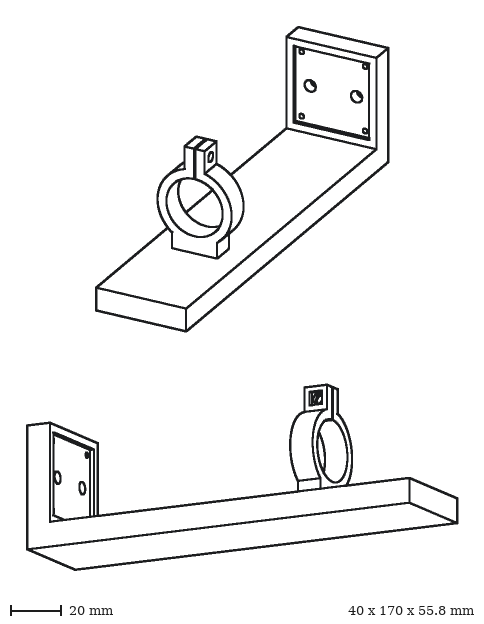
import cadquery as cq

width = 40.0
length = 170.0
base_thickness = 10.0
wall_thickness = 10.0
wall_top = 50.0

axis_height = (base_thickness + wall_top) / 2

recess_side = 33.5
recess_depth = 1.7
screw_hole_diameter = 2.0
screw_hole_spacing = 28.2
blind_hole_diameter = 5.0
blind_hole_spacing = 20.5
blind_hole_depth = 5.0

clamp_front = 44.9
clamp_depth = 10.0
ring_diameter = 33.0
bore_diameter = 25.0
foot_width = 20.0
tabs_width = 9.0
tabs_top = 55.8
split_width = 0.7

clamp_screw_height = 51.0
clamp_screw_diameter = 4.0
nut_side = 5.5
nut_depth = 1.9

wall_front = length - wall_thickness
recess_floor = wall_front + recess_depth
clamp_middle = clamp_front + clamp_depth / 2


def block(x_size, y_start, y_size, z_start, z_end):
    """Box centred on X = 0."""
    box = cq.Workplane("XY").box(x_size, y_size, z_end - z_start, centered=(True, False, False))
    return box.translate((0, y_start, z_start))


def rod_along_y(diameter, x, z, y_start, y_size):
    """Cylinder running toward +Y from y_start."""
    plane = cq.Workplane("XZ", origin=(x, y_start, z))
    return plane.circle(diameter / 2).extrude(-y_size)


def make_bracket():
    base = block(width, 0, length, 0, base_thickness)
    wall = block(width, wall_front, wall_thickness, 0, wall_top)
    recess_bottom = axis_height - recess_side / 2
    recess = block(recess_side, wall_front, recess_depth, recess_bottom, recess_bottom + recess_side)
    bracket = base.union(wall).cut(recess)

    for side in (-1, 1):
        blind_x = side * blind_hole_spacing / 2
        bracket = bracket.cut(
            rod_along_y(blind_hole_diameter, blind_x, axis_height, recess_floor, blind_hole_depth)
        )
        for level in (-1, 1):
            screw_x = side * screw_hole_spacing / 2
            screw_z = axis_height + level * screw_hole_spacing / 2
            bracket = bracket.cut(
                rod_along_y(screw_hole_diameter, screw_x, screw_z, wall_front, wall_thickness)
            )
    return bracket


def make_clamp():
    ring = rod_along_y(ring_diameter, 0, axis_height, clamp_front, clamp_depth)
    foot = block(foot_width, clamp_front, clamp_depth, base_thickness, axis_height)
    tabs = block(tabs_width, clamp_front, clamp_depth, axis_height, tabs_top)
    bore = rod_along_y(bore_diameter, 0, axis_height, clamp_front, clamp_depth)
    split = block(split_width, clamp_front, clamp_depth, axis_height, tabs_top)

    screw_plane = cq.Workplane("YZ", origin=(-tabs_width / 2, clamp_middle, clamp_screw_height))
    screw_hole = screw_plane.circle(clamp_screw_diameter / 2).extrude(tabs_width)
    nut_pocket = screw_plane.rect(nut_side, nut_side).extrude(nut_depth)

    clamp = ring.union(foot).union(tabs)
    return clamp.cut(bore).cut(split).cut(screw_hole).cut(nut_pocket)


result = make_bracket().union(make_clamp())